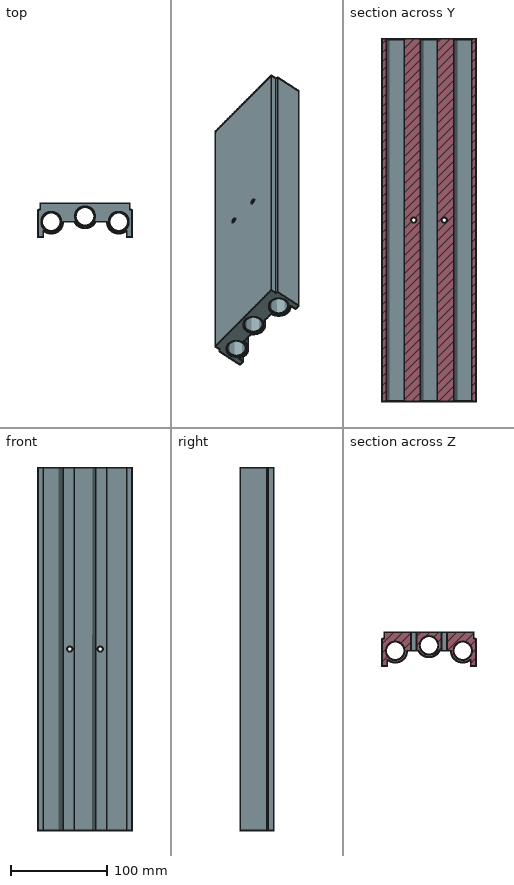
import cadquery as cq

length = 378.0
width = 98.0
depth = 35.0

plate_thickness = 19.3
shoulder_inset = 2.3
shoulder_depth = 6.0
shoulder_drop = 1.0
leg_thickness = 5.5

bore_diameter = 19.0
tube_diameter = 25.0
mouth_chamfer = 1.0
side_tube_offset = 35.0
side_tube_depth = plate_thickness
middle_tube_depth = 13.5

hole_diameter = 5.3
hole_offset = 16.0

back_y = depth / 2
tube_centres = [
    (-side_tube_offset, back_y - side_tube_depth),
    (0, back_y - middle_tube_depth),
    (side_tube_offset, back_y - side_tube_depth),
]


def channel():
    """Plate with two legs facing -Y, narrowed at the back by sloped shoulders."""
    outer_x = width / 2
    inner_x = outer_x - leg_thickness
    shoulder_x = outer_x - shoulder_inset
    shoulder_y = back_y - shoulder_depth
    plate_y = back_y - plate_thickness
    right_half = [
        (0, back_y),
        (shoulder_x, back_y),
        (shoulder_x, shoulder_y),
        (outer_x, shoulder_y - shoulder_drop),
        (outer_x, -back_y),
        (inner_x, -back_y),
        (inner_x, plate_y),
        (0, plate_y),
    ]
    return cq.Workplane("XY").polyline(right_half).mirrorY().extrude(length)


def tubes():
    """Solid full-length cylinders around the bore axes."""
    return cq.Workplane("XY").pushPoints(tube_centres).circle(tube_diameter / 2).extrude(length)


def bores():
    """Full-length bore cutters, flared at both ends to chamfer the mouths."""
    bore_radius = bore_diameter / 2
    mouth_radius = bore_radius + mouth_chamfer
    profile = [
        (0, 0),
        (mouth_radius, 0),
        (bore_radius, mouth_chamfer),
        (bore_radius, length - mouth_chamfer),
        (mouth_radius, length),
        (0, length),
    ]
    cutter = cq.Workplane("XZ").polyline(profile).close().revolve(360, (0, 0), (0, 1))
    cutters = cq.Workplane("XY")
    for x, y in tube_centres:
        cutters = cutters.add(cutter.translate((x, y, 0)))
    return cutters.combine()


def mounting_holes():
    """Two cylinders along Y at mid-length, between the tubes."""
    centres = [(-hole_offset, length / 2), (hole_offset, length / 2)]
    return cq.Workplane("XZ").pushPoints(centres).circle(hole_diameter / 2).extrude(depth, both=True)


result = channel().union(tubes()).cut(bores()).cut(mounting_holes())